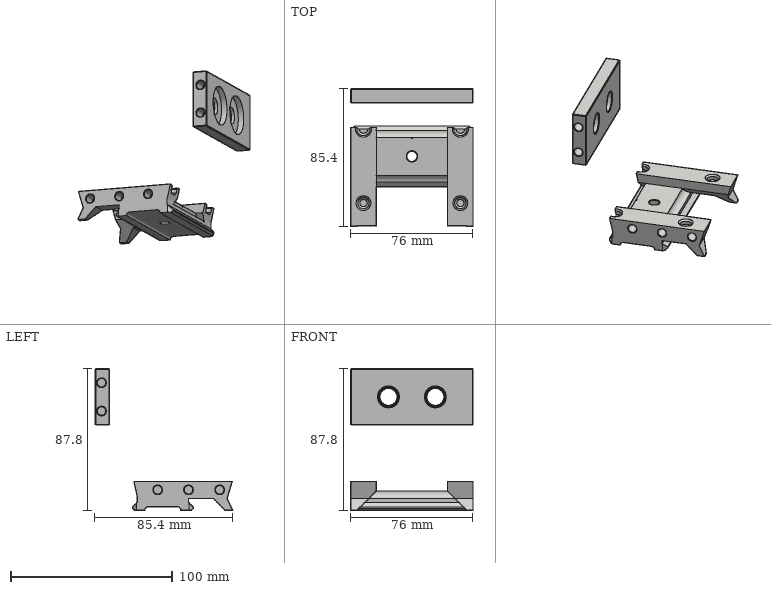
import cadquery as cq
import math

WIDTH = 76.0
TOTAL_DEPTH = 85.4
TOTAL_HEIGHT = 87.75
EPS = 0.9

PLATE_THICKNESS = 9.0
PLATE_HEIGHT = 35.0
PLATE_EDGE_CHAMFER = 0.5
PLATE_HOLE_SPACING = 29.05
PLATE_BORE_DIAMETER = 10.5
PLATE_COUNTERBORE_DIAMETER = 12.5
PLATE_COUNTERBORE_DEPTH = 3.0
PLATE_LIP_THICKNESS = 2.5
PLATE_LIP_CHAMFER = 0.5
PLATE_BACK_BORE_DIAMETER = 24.0
PLATE_MOUTH_DIAMETER = 13.5
PLATE_SIDE_HOLE_SPACING = 17.55
PLATE_SIDE_HOLE_FROM_BACK = 4.0

SIDE_HOLE_DIAMETER = 5.3
SIDE_HOLE_MOUTH_DIAMETER = 6.0
SIDE_HOLE_DEPTH = 10.5

BASE_CENTER_Y = 43.35
WALL_HALF_DEPTH = 16.0
RAIL_PROJECTION = 2.9
RAIL_TOP = 4.9
RAIL_BOTTOM_CHAMFER = 1.2
RAIL_CORNER_INSET = 0.3
LEDGE_HEIGHT = 7.2
DECK_HEIGHT = 11.9
DECK_HALF_DEPTH = 11.85
COVE_RADIUS = WALL_HALF_DEPTH - DECK_HALF_DEPTH
BACK_LEDGE_DEPTH = 0.8
RECESS_DEPTH = 2.1
RECESS_HALF_DEPTH = 11.1
RECESS_FILLET = 2.0
DECK_HOLE_DIAMETER = 6.3
DECK_HOLE_MOUTH_DIAMETER = 7.0
NOTCH_WIDTH = 0.5
NOTCH_DEPTH = 0.7

BAR_WIDTH = 16.0
BAR_TOP = 17.8
BAR_FRONT_TOP_Y = 0.35
WAIST_Y = 3.5
FOOT_LENGTH = 4.8
BACK_OVERHANG = 2.0
BACK_OVERHANG_START = 8.7
BAR_SIDE_HOLE_Z = 12.6
BAR_SIDE_HOLE_YS = (8.2, 27.5, 46.6)

FRONT_SEAT_Y = 14.4
FRONT_SEAT_DIAMETER = 7.0
FRONT_SEAT_FLOOR_DIAMETER = 4.5
FRONT_SEAT_CHAMFER = 1.05
FRONT_SEAT_WALL = 2.2
BACK_SEAT_Y = 60.3
BACK_SEAT_DIAMETER = 8.25
BACK_SEAT_FLOOR_DIAMETER = 5.3
BACK_SEAT_CHAMFER = 0.9
BACK_SEAT_WALL = 2.5

PLATE_CENTER_Z = TOTAL_HEIGHT - PLATE_HEIGHT / 2
PLATE_FRONT_Y = TOTAL_DEPTH - PLATE_THICKNESS
FRONT_WALL_Y = BASE_CENTER_Y - WALL_HALF_DEPTH
BACK_WALL_Y = BASE_CENTER_Y + WALL_HALF_DEPTH
DECK_FRONT_Y = BASE_CENTER_Y - DECK_HALF_DEPTH
DECK_BACK_Y = BASE_CENTER_Y + DECK_HALF_DEPTH
BAR_INNER_X = WIDTH / 2 - BAR_WIDTH


def hole_cutter(origin, direction, profile):
    """Revolve (depth, diameter) pairs about an axis that runs into the material from origin."""
    points = [(0, profile[0][0])]
    points += [(diameter / 2, depth) for depth, diameter in profile]
    points += [(0, profile[-1][0])]
    side = (0, 0, 1) if direction[2] == 0 else (1, 0, 0)
    normal = cq.Vector(*side).cross(cq.Vector(*direction))
    plane = cq.Plane(origin=origin, xDir=side, normal=normal)
    return cq.Workplane(plane).polyline(points).close().revolve(360, (0, 0), (0, 1))


def side_holes(y, z):
    """Mirrored pair of blind holes, one in each end face."""
    mouth_depth = (SIDE_HOLE_MOUTH_DIAMETER - SIDE_HOLE_DIAMETER) / 2
    profile = [
        (0, SIDE_HOLE_MOUTH_DIAMETER),
        (mouth_depth, SIDE_HOLE_DIAMETER),
        (SIDE_HOLE_DEPTH, SIDE_HOLE_DIAMETER),
    ]
    left = hole_cutter((-WIDTH / 2, y, z), (1, 0, 0), profile)
    right = hole_cutter((WIDTH / 2, y, z), (-1, 0, 0), profile)
    return left.add(right).combine()


def make_plate():
    plate = (
        cq.Workplane("XY")
        .box(WIDTH, PLATE_THICKNESS, PLATE_HEIGHT)
        .edges()
        .chamfer(PLATE_EDGE_CHAMFER)
        .translate((0, PLATE_FRONT_Y + PLATE_THICKNESS / 2, PLATE_CENTER_Z))
    )
    mouth_depth = (PLATE_MOUTH_DIAMETER - PLATE_COUNTERBORE_DIAMETER) / 2
    lip_end = PLATE_COUNTERBORE_DEPTH + PLATE_LIP_THICKNESS
    bore_profile = [
        (0, PLATE_MOUTH_DIAMETER),
        (mouth_depth, PLATE_COUNTERBORE_DIAMETER),
        (PLATE_COUNTERBORE_DEPTH, PLATE_COUNTERBORE_DIAMETER),
        (PLATE_COUNTERBORE_DEPTH, PLATE_BORE_DIAMETER + 2 * PLATE_LIP_CHAMFER),
        (PLATE_COUNTERBORE_DEPTH + PLATE_LIP_CHAMFER, PLATE_BORE_DIAMETER),
        (lip_end, PLATE_BORE_DIAMETER),
        (lip_end, PLATE_BACK_BORE_DIAMETER),
        (PLATE_THICKNESS + EPS, PLATE_BACK_BORE_DIAMETER),
    ]
    for side in (-1, 1):
        x = side * PLATE_HOLE_SPACING / 2
        plate = plate.cut(hole_cutter((x, PLATE_FRONT_Y, PLATE_CENTER_Z), (0, 1, 0), bore_profile))
        z = PLATE_CENTER_Z + side * PLATE_SIDE_HOLE_SPACING / 2
        plate = plate.cut(side_holes(TOTAL_DEPTH - PLATE_SIDE_HOLE_FROM_BACK, z))
    return plate


def make_core():
    """Stepped block between the rails, with a cove on each side of the raised deck."""
    cove_top = LEDGE_HEIGHT + COVE_RADIUS
    back_cove_y = BACK_WALL_Y - BACK_LEDGE_DEPTH
    back_cove_reach = back_cove_y - DECK_BACK_Y
    back_cove_rise = COVE_RADIUS - math.sqrt(COVE_RADIUS**2 - back_cove_reach**2)
    half_angle = math.asin(back_cove_reach / COVE_RADIUS) / 2
    diagonal = COVE_RADIUS * math.sqrt(0.5)
    return (
        cq.Workplane("YZ")
        .moveTo(FRONT_WALL_Y, 0)
        .lineTo(FRONT_WALL_Y, LEDGE_HEIGHT)
        .threePointArc(
            (FRONT_WALL_Y + diagonal, cove_top - diagonal),
            (DECK_FRONT_Y, cove_top),
        )
        .lineTo(DECK_FRONT_Y, DECK_HEIGHT)
        .lineTo(DECK_BACK_Y, DECK_HEIGHT)
        .lineTo(DECK_BACK_Y, LEDGE_HEIGHT + back_cove_rise)
        .threePointArc(
            (
                back_cove_y - COVE_RADIUS * math.sin(half_angle),
                cove_top - COVE_RADIUS * math.cos(half_angle),
            ),
            (back_cove_y, LEDGE_HEIGHT),
        )
        .lineTo(BACK_WALL_Y, LEDGE_HEIGHT)
        .lineTo(BACK_WALL_Y, 0)
        .close()
        .extrude(WIDTH / 2, both=True)
    )


def make_rails():
    """Dovetail rails on both sides of the core, mitred at 45 degrees at their four corners."""
    half_depth = WALL_HALF_DEPTH + RAIL_PROJECTION
    nose_top = RAIL_TOP - RAIL_PROJECTION
    profile = [
        (WALL_HALF_DEPTH, RAIL_TOP),
        (half_depth, nose_top),
        (half_depth, RAIL_BOTTOM_CHAMFER),
        (half_depth - RAIL_BOTTOM_CHAMFER, 0),
    ]
    mirrored = [(-y, z) for y, z in reversed(profile)]
    rails = cq.Workplane("YZ").polyline(profile + mirrored).close().extrude(WIDTH / 2, both=True)
    outline = (
        cq.Workplane("XY")
        .rect(WIDTH, 2 * half_depth)
        .extrude(RAIL_TOP)
        .edges("|Z")
        .chamfer(RAIL_PROJECTION - RAIL_CORNER_INSET)
    )
    return rails.intersect(outline).translate((0, BASE_CENTER_Y, 0))


def make_bars():
    """Two mirrored bars whose inner lower corner is cut away at 45 degrees."""
    foot_slope_run = LEDGE_HEIGHT
    side_profile = [
        (0, 0),
        (WAIST_Y, LEDGE_HEIGHT),
        (BAR_FRONT_TOP_Y, BAR_TOP),
        (BACK_WALL_Y + BACK_OVERHANG, BAR_TOP),
        (BACK_WALL_Y, BACK_OVERHANG_START),
        (BACK_WALL_Y, LEDGE_HEIGHT),
        (FOOT_LENGTH + foot_slope_run, LEDGE_HEIGHT),
        (FOOT_LENGTH, 0),
    ]
    bars = cq.Workplane("YZ").polyline(side_profile).close().extrude(WIDTH / 2, both=True)
    gap_profile = [
        (BAR_INNER_X + DECK_HEIGHT, 0),
        (BAR_INNER_X, DECK_HEIGHT),
        (BAR_INNER_X, BAR_TOP + EPS),
        (-BAR_INNER_X, BAR_TOP + EPS),
        (-BAR_INNER_X, DECK_HEIGHT),
        (-BAR_INNER_X - DECK_HEIGHT, 0),
    ]
    gap = cq.Workplane("XZ").polyline(gap_profile).close().extrude(TOTAL_DEPTH, both=True)
    return bars.cut(gap)


def make_recess():
    """Shallow channel along the underside of the base."""
    return (
        cq.Workplane("XY")
        .box(WIDTH + 2 * EPS, 2 * RECESS_HALF_DEPTH, 2 * RECESS_DEPTH)
        .edges("|X and >Z")
        .fillet(RECESS_FILLET)
        .translate((0, BASE_CENTER_Y, 0))
    )


def make_deck_hole():
    mouth_depth = (DECK_HOLE_MOUTH_DIAMETER - DECK_HOLE_DIAMETER) / 2
    profile = [
        (0, DECK_HOLE_MOUTH_DIAMETER),
        (mouth_depth, DECK_HOLE_DIAMETER),
        (DECK_HEIGHT + EPS, DECK_HOLE_DIAMETER),
    ]
    return hole_cutter((0, BASE_CENTER_Y, DECK_HEIGHT), (0, 0, -1), profile)


def make_deck_notch():
    """Small 45-degree mark at the middle of the deck's back edge."""
    profile = [
        (DECK_BACK_Y - NOTCH_DEPTH, DECK_HEIGHT),
        (DECK_BACK_Y, DECK_HEIGHT),
        (DECK_BACK_Y, DECK_HEIGHT - NOTCH_DEPTH),
    ]
    return cq.Workplane("YZ").polyline(profile).close().extrude(NOTCH_WIDTH / 2, both=True)


def make_seat_pair(y, diameter, floor_diameter, chamfer, wall):
    """Cutters in both bar tops: chamfered mouth, straight wall, cone down to a flat floor."""
    wall_end = chamfer + wall
    profile = [
        (0, diameter + 2 * chamfer),
        (chamfer, diameter),
        (wall_end, diameter),
        (wall_end + (diameter - floor_diameter) / 2, floor_diameter),
    ]
    bar_center_x = BAR_INNER_X + BAR_WIDTH / 2
    left = hole_cutter((-bar_center_x, y, BAR_TOP), (0, 0, -1), profile)
    right = hole_cutter((bar_center_x, y, BAR_TOP), (0, 0, -1), profile)
    return left.add(right).combine()


def make_frame():
    frame = make_core().union(make_rails()).union(make_bars())
    frame = frame.cut(make_recess()).cut(make_deck_hole()).cut(make_deck_notch())
    front_seats = make_seat_pair(
        FRONT_SEAT_Y,
        FRONT_SEAT_DIAMETER,
        FRONT_SEAT_FLOOR_DIAMETER,
        FRONT_SEAT_CHAMFER,
        FRONT_SEAT_WALL,
    )
    back_seats = make_seat_pair(
        BACK_SEAT_Y,
        BACK_SEAT_DIAMETER,
        BACK_SEAT_FLOOR_DIAMETER,
        BACK_SEAT_CHAMFER,
        BACK_SEAT_WALL,
    )
    frame = frame.cut(front_seats).cut(back_seats)
    for y in BAR_SIDE_HOLE_YS:
        frame = frame.cut(side_holes(y, BAR_SIDE_HOLE_Z))
    return frame


plate = make_plate()
frame = make_frame()

result = cq.Compound.makeCompound([plate.val(), frame.val()])